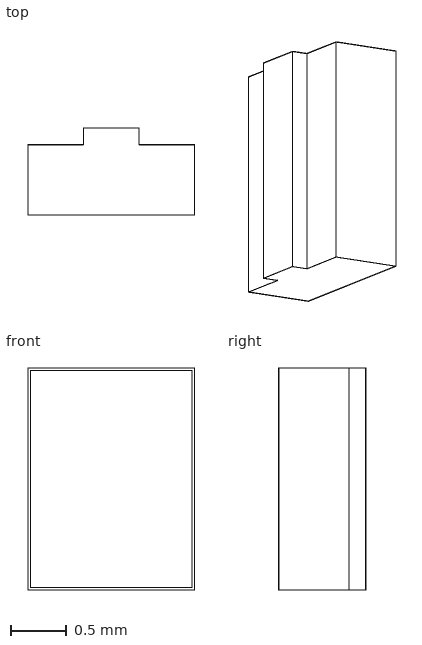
import cadquery as cq

WIDTH = 1.5
HEIGHT = 2.0
TOTAL_DEPTH = 0.785

RAIL_WIDTH = 0.5
RAIL_DEPTH = 0.151
BLOCK_DEPTH = TOTAL_DEPTH - RAIL_DEPTH

RIM = 0.025
PANEL_DEPTH = RIM


def make_block(width, depth, height, front_y):
    """Box centred on X and Z that runs from front_y toward +Y."""
    return cq.Workplane("XY").box(width, depth, height).translate((0, front_y + depth / 2, 0))


def make_panel():
    """Thin rectangular panel whose face is level with the housing's front."""
    return make_block(WIDTH - 2 * RIM, PANEL_DEPTH, HEIGHT - 2 * RIM, 0)


def make_housing():
    """Block with the back rail and a front recess that fits the panel."""
    block = make_block(WIDTH, BLOCK_DEPTH, HEIGHT, 0)
    recessed_block = block.cut(make_panel())
    rail = make_block(RAIL_WIDTH, RAIL_DEPTH, HEIGHT, BLOCK_DEPTH)
    return recessed_block.union(rail, clean=False).solids()


housing = make_housing()
panel = make_panel()

result = cq.Compound.makeCompound([housing.val(), panel.val()])